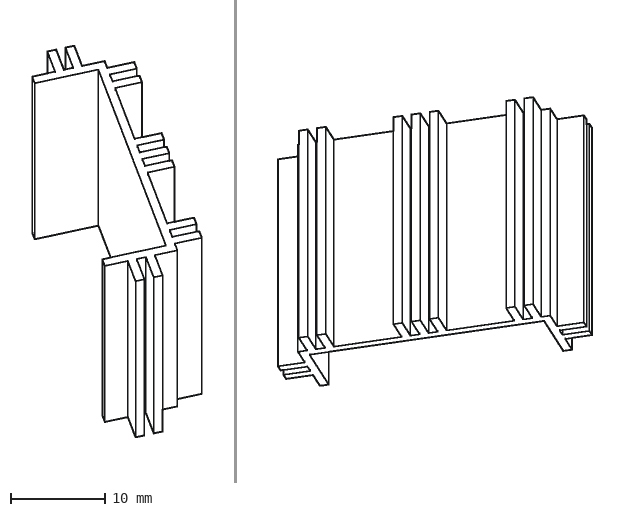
import cadquery as cq

overall_width = 34.0
overall_depth = 11.0
height = 25.0
wall = 1.0
fin_length = 3.0
fin_pitch = 2.0
corner_fin_inset = 1.5
side_fin_inset = 3.0

channel_width = overall_width - 2 * fin_length
channel_depth = overall_depth - fin_length
half_channel = channel_width / 2
leg_end_y = -overall_depth / 2
web_rear_y = leg_end_y + channel_depth


def upright(x_min, x_max, y_min, y_max):
    """Full-height rectangular bar between the given plan limits."""
    return (
        cq.Workplane("XY")
        .box(x_max - x_min, y_max - y_min, height, centered=False)
        .translate((x_min, y_min, -height / 2))
    )


def channel():
    """U-shaped channel opening toward -Y."""
    outer = upright(-half_channel, half_channel, leg_end_y, web_rear_y)
    inner_half = half_channel - wall
    return outer.cut(upright(-inner_half, inner_half, leg_end_y, web_rear_y - wall))


def rear_fin(x):
    """Fin behind the web, rooted inside it for a solid union."""
    return upright(x - wall / 2, x + wall / 2, web_rear_y - wall, web_rear_y + fin_length)


def side_fin(side, y):
    """Fin outside the leg on the given side (-1 or +1), rooted inside the leg."""
    root = side * (half_channel - wall)
    tip = side * (half_channel + fin_length)
    return upright(min(root, tip), max(root, tip), y - wall / 2, y + wall / 2)


result = channel()

for step in (-1, 0, 1):
    result = result.union(rear_fin(step * fin_pitch))

for side in (-1, 1):
    for step in range(2):
        x = side * (half_channel - corner_fin_inset - step * fin_pitch)
        y = web_rear_y - side_fin_inset - step * fin_pitch
        result = result.union(rear_fin(x))
        result = result.union(side_fin(side, y))